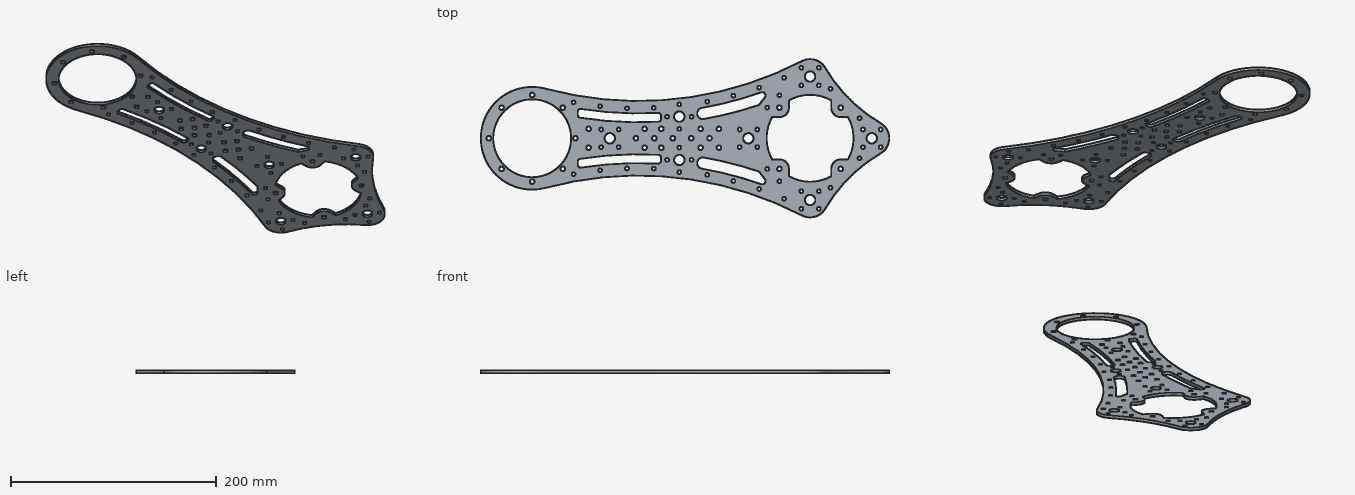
import cadquery as cq
import math

thickness = 3.0

ring_radius = 50.0
ring_bore = 75.5
bolt_circle_radius = 42.0
ring_bolt_count = 8

head_x = 270.0
head_opening_radius = 42.0
lobe_distance = 60.0
lobe_radius = 17.0
tab_width = 18.5

side_radius = 345.0
head_edge_radius = 150.0

small_hole = 3.5
bolt_hole = 4.5
large_hole = 10.0

lobe_hole_pitch = 17.0
waist_large_hole = (143.0, 21.0)
waist_hole_offset = 12.0
body_large_holes = [(75.5, 0), (head_x - lobe_distance, 0)]
grid_row_y = 9.0
grid_row_x = [54.8, 109.0, 125.5, 163.5, 181.5]
center_row_start = 100.8
center_row_pitch = 18.0
center_row_count = 5
edge_hole_inset = 7.0
edge_hole_first_angle = -10.3
edge_hole_pitch_angle = 4.25
edge_hole_steps = [0, 1, 2, 3, 5, 6, 7, 8]
head_hole_offsets = [(-41.5, 29.8), (-29.8, 41.5), (20.0, 48.0), (48.0, 19.5)]

slot_inset = 12.3
rear_slot_width = 8.5
rear_slot_start_x = 44.5
rear_slot_end_x = 125.0
rear_slot_corner_radius = 2.5
front_slot_width = 10.7
front_slot_start_x = 160.5
front_slot_end_radius = 59.0
front_slot_corner_radius = 3.0


def circle_crossings(center_a, radius_a, center_b, radius_b):
    """Both crossing points of two circles: first left, then right of the line from a to b."""
    dx = center_b[0] - center_a[0]
    dy = center_b[1] - center_a[1]
    distance = math.hypot(dx, dy)
    along = (distance**2 + radius_a**2 - radius_b**2) / (2 * distance)
    across = math.sqrt(radius_a**2 - along**2)
    ux = dx / distance
    uy = dy / distance
    foot = (center_a[0] + along * ux, center_a[1] + along * uy)
    left = (foot[0] - across * uy, foot[1] + across * ux)
    right = (foot[0] + across * uy, foot[1] - across * ux)
    return left, right


def point_toward(start, target, distance):
    """Point at a distance from start in the direction of target."""
    length = math.hypot(target[0] - start[0], target[1] - start[1])
    return tuple(s + (t - s) * distance / length for s, t in zip(start, target))


def mirrored(points):
    """Points together with their mirror images across the X axis."""
    return points + [(x, -y) for x, y in points]


ring_center = (0, 0)
head_center = (head_x, 0)
side_lobe = (head_x, lobe_distance)
tip_lobe = (head_x + lobe_distance, 0)
side_center = circle_crossings(ring_center, ring_radius + side_radius,
                               side_lobe, lobe_radius + side_radius)[0]
head_edge_center = circle_crossings(side_lobe, lobe_radius + head_edge_radius,
                                    tip_lobe, lobe_radius + head_edge_radius)[0]


def side_arc_point(x, radius):
    """Point at x on the lower part of a circle around the centre of the side edge."""
    return (x, side_center[1] - math.sqrt(radius**2 - (x - side_center[0])**2))


def make_plate():
    ring_end = (-ring_radius, 0)
    ring_shoulder = point_toward(ring_center, side_center, ring_radius)
    ring_middle = point_toward(ring_center, (-ring_radius, ring_radius), ring_radius)
    side_middle = side_arc_point(side_center[0], side_radius)
    lobe_start = point_toward(side_lobe, side_center, lobe_radius)
    lobe_top = (head_x, lobe_distance + lobe_radius)
    lobe_end = point_toward(side_lobe, head_edge_center, lobe_radius)
    head_edge_middle = point_toward(head_edge_center, head_center, head_edge_radius)
    tip_start = point_toward(tip_lobe, head_edge_center, lobe_radius)
    tip_end = (tip_lobe[0] + lobe_radius, 0)
    tip_middle = point_toward(tip_lobe, (tip_end[0], tip_start[1] / 2), lobe_radius)
    return (
        cq.Workplane("XY")
        .moveTo(*ring_end)
        .threePointArc(ring_middle, ring_shoulder)
        .threePointArc(side_middle, lobe_start)
        .threePointArc(lobe_top, lobe_end)
        .threePointArc(head_edge_middle, tip_start)
        .threePointArc(tip_middle, tip_end)
        .mirrorX()
        .extrude(thickness)
    )


def cylinders(points, diameter):
    return cq.Workplane("XY").pushPoints(points).circle(diameter / 2).extrude(thickness)


def diagonal_points(center, offset):
    return [(center[0] + sx * offset, center[1] + sy * offset) for sx in (-1, 1) for sy in (-1, 1)]


def make_head_opening():
    """Round opening with four round-nosed tabs that carry the motor bolts."""
    opening = cylinders([head_center], 2 * head_opening_radius)
    tab_radius = tab_width / 2
    tab_inner = bolt_circle_radius * math.sqrt(0.5) - tab_radius
    tab_size = head_opening_radius - tab_inner
    tab = (
        cq.Workplane("XY")
        .box(tab_size, tab_size, thickness, centered=False)
        .edges("|Z and <X and <Y")
        .fillet(tab_radius)
        .translate((tab_inner, tab_inner, 0))
    )
    for quarter in range(4):
        turned_tab = tab.rotate((0, 0, 0), (0, 0, 1), 90 * quarter)
        opening = opening.cut(turned_tab.translate((head_x, 0, 0)))
    return opening


def make_rear_slot():
    outer_radius = side_radius + slot_inset
    inner_radius = outer_radius + rear_slot_width
    start_x = rear_slot_start_x
    end_x = rear_slot_end_x
    middle_x = (start_x + end_x) / 2
    return (
        cq.Workplane("XY")
        .moveTo(*side_arc_point(start_x, outer_radius))
        .threePointArc(side_arc_point(middle_x, outer_radius), side_arc_point(end_x, outer_radius))
        .lineTo(*side_arc_point(end_x, inner_radius))
        .threePointArc(side_arc_point(middle_x, inner_radius), side_arc_point(start_x, inner_radius))
        .close()
        .extrude(thickness)
        .edges("|Z")
        .fillet(rear_slot_corner_radius)
    )


def make_front_slot():
    """Slot with a round rear end and a front end that runs around the head centre."""
    outer_radius = side_radius + slot_inset
    inner_radius = outer_radius + front_slot_width
    middle_radius = outer_radius + front_slot_width / 2
    cap_radius = front_slot_width / 2
    cap_center = side_arc_point(front_slot_start_x + cap_radius, middle_radius)
    outer_start = point_toward(side_center, cap_center, outer_radius)
    inner_start = point_toward(side_center, cap_center, inner_radius)
    chord = (inner_start[0] - outer_start[0], inner_start[1] - outer_start[1])
    cap_tip = point_toward(cap_center, (cap_center[0] + chord[1], cap_center[1] - chord[0]), cap_radius)
    outer_end, inner_end, front_middle = [
        circle_crossings(side_center, radius, head_center, front_slot_end_radius)[1]
        for radius in (outer_radius, inner_radius, middle_radius)
    ]
    middle_x = (front_slot_start_x + outer_end[0]) / 2
    return (
        cq.Workplane("XY")
        .moveTo(*outer_start)
        .threePointArc(side_arc_point(middle_x, outer_radius), outer_end)
        .threePointArc(front_middle, inner_end)
        .threePointArc(side_arc_point(middle_x, inner_radius), inner_start)
        .threePointArc(cap_tip, outer_start)
        .close()
        .extrude(thickness)
        .edges("|Z and >X")
        .fillet(front_slot_corner_radius)
    )


def bolt_hole_points():
    ring_step = 2 * math.pi / ring_bolt_count
    ring_points = [
        (bolt_circle_radius * math.cos(i * ring_step), bolt_circle_radius * math.sin(i * ring_step))
        for i in range(ring_bolt_count)
    ]
    head_points = diagonal_points(head_center, bolt_circle_radius * math.sqrt(0.5))
    grid_points = mirrored([(x, grid_row_y) for x in grid_row_x])
    center_points = [(center_row_start + i * center_row_pitch, 0) for i in range(center_row_count)]
    return ring_points + head_points + grid_points + center_points


def large_hole_points():
    return mirrored([side_lobe, waist_large_hole]) + [tip_lobe] + body_large_holes


def small_hole_points():
    points = mirrored([(head_x + dx, dy) for dx, dy in head_hole_offsets])
    for center in mirrored([side_lobe]) + [tip_lobe] + body_large_holes:
        points += diagonal_points(center, lobe_hole_pitch / 2)

    waist_x, waist_y = waist_large_hole
    points += mirrored([(waist_x + side * waist_hole_offset, waist_y) for side in (-1, 1)])
    points += mirrored([(waist_x, waist_y + side * waist_hole_offset) for side in (-1, 1)])

    edge_radius = side_radius + edge_hole_inset
    for step in edge_hole_steps:
        angle = math.radians(edge_hole_first_angle + step * edge_hole_pitch_angle)
        points += mirrored([side_arc_point(side_center[0] + edge_radius * math.sin(angle), edge_radius)])
    return points


result = make_plate()
result = result.cut(cylinders([ring_center], ring_bore))
result = result.cut(make_head_opening())
for slot in (make_rear_slot(), make_front_slot()):
    result = result.cut(slot).cut(slot.mirror("XZ"))
result = result.cut(cylinders(bolt_hole_points(), bolt_hole))
result = result.cut(cylinders(large_hole_points(), large_hole))
result = result.cut(cylinders(small_hole_points(), small_hole))